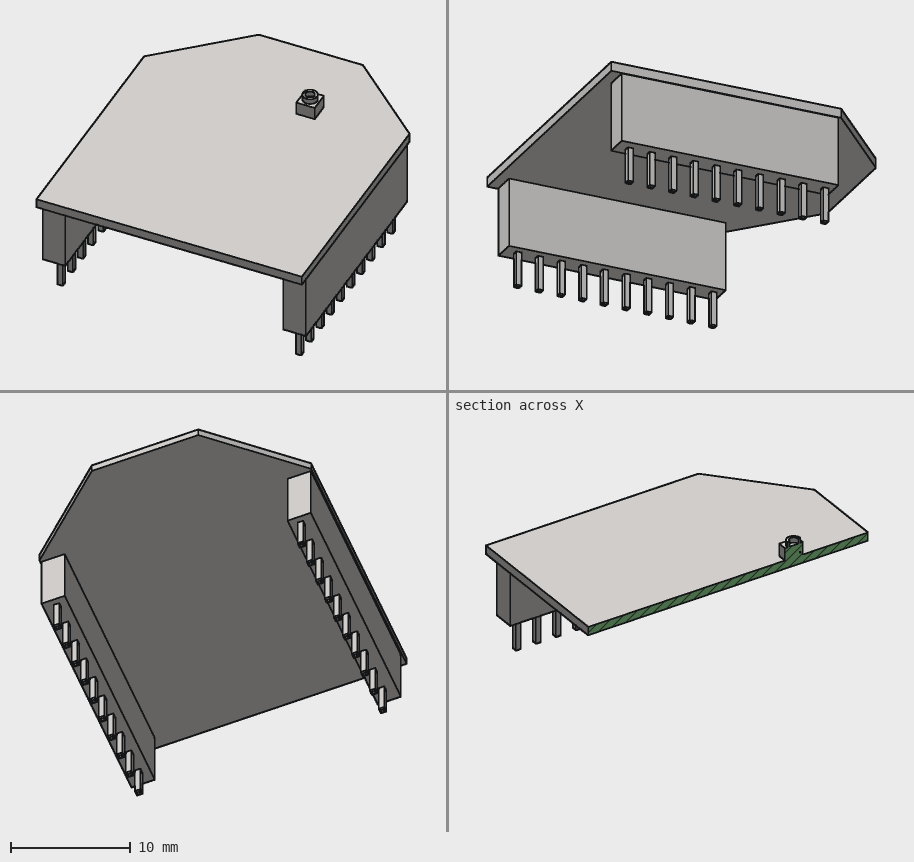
import cadquery as cq

BOARD_WIDTH = 24.5
BOARD_LENGTH = 27.9
BOARD_THICKNESS = 0.85
BACK_EDGE_WIDTH = 9.6
CORNER_CUT_LENGTH = 6.7

HEADER_WIDTH = 2.1
HEADER_LENGTH = 20.0
HEADER_HEIGHT = 6.25
HEADER_SIDE_INSET = 0.1
HEADER_FRONT_INSET = 1.0

PIN_COUNT = 10
PIN_PITCH = 2.0
PIN_ROW_SPACING = 22.0
PIN_SIDE = 0.5
PIN_LENGTH = 3.2
PIN_TIP_CHAMFER = 0.12
FIRST_PIN_Y = 2.25

CONNECTOR_X = 3.4
CONNECTOR_Y = 20.5
CONNECTOR_WIDTH = 1.7
CONNECTOR_LENGTH = 1.8
CONNECTOR_HEIGHT = 1.2
SOCKET_OUTER_DIAMETER = 1.3
SOCKET_BORE_DIAMETER = 0.8
SOCKET_HEIGHT = 0.5


def make_board():
    """Flat plate with its two back corners cut off."""
    half_width = BOARD_WIDTH / 2
    half_back = BACK_EDGE_WIDTH / 2
    cut_start_y = BOARD_LENGTH - CORNER_CUT_LENGTH
    outline = [
        (-half_width, 0),
        (half_width, 0),
        (half_width, cut_start_y),
        (half_back, BOARD_LENGTH),
        (-half_back, BOARD_LENGTH),
        (-half_width, cut_start_y),
    ]
    return cq.Workplane("XY").polyline(outline).close().extrude(BOARD_THICKNESS)


def make_header(side):
    """Plastic bar below the board; side is -1 for left, +1 for right."""
    center_x = side * (BOARD_WIDTH / 2 - HEADER_SIDE_INSET - HEADER_WIDTH / 2)
    center_y = HEADER_FRONT_INSET + HEADER_LENGTH / 2
    return (
        cq.Workplane("XY")
        .center(center_x, center_y)
        .rect(HEADER_WIDTH, HEADER_LENGTH)
        .extrude(-HEADER_HEIGHT)
    )


def make_pin_row(side):
    """Row of square pins with chamfered tips; side is -1 for left, +1 for right."""
    pin_centers = [
        (side * PIN_ROW_SPACING / 2, FIRST_PIN_Y + index * PIN_PITCH)
        for index in range(PIN_COUNT)
    ]
    return (
        cq.Workplane("XY", origin=(0, 0, -HEADER_HEIGHT))
        .pushPoints(pin_centers)
        .rect(PIN_SIDE, PIN_SIDE)
        .extrude(-PIN_LENGTH)
        .faces("<Z")
        .chamfer(PIN_TIP_CHAMFER)
    )


def make_connector():
    """Rectangular base carrying a round socket open at the top."""
    base = (
        cq.Workplane("XY", origin=(CONNECTOR_X, CONNECTOR_Y, BOARD_THICKNESS))
        .rect(CONNECTOR_WIDTH, CONNECTOR_LENGTH)
        .extrude(CONNECTOR_HEIGHT)
    )
    socket = (
        base.faces(">Z")
        .workplane()
        .circle(SOCKET_OUTER_DIAMETER / 2)
        .circle(SOCKET_BORE_DIAMETER / 2)
        .extrude(SOCKET_HEIGHT, combine=False)
    )
    return base.union(socket)


result = make_board().union(make_connector())
for side in (-1, 1):
    result = result.union(make_header(side))
    result = result.union(make_pin_row(side))